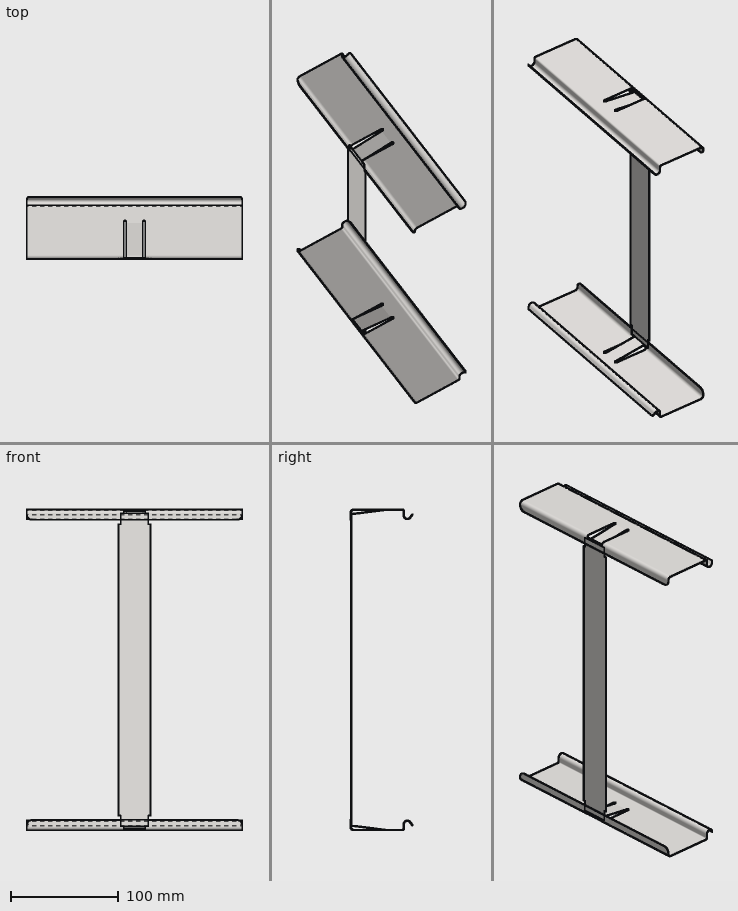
import cadquery as cq
import math

LENGTH = 200.0
DEPTH = 58.0
HEIGHT = 298.0
SHEET = 0.75
FRONT = -DEPTH / 2
TOP = HEIGHT / 2

LIP_HEIGHT = 9.8
LIP_BEND = 3.5
LIP_CORNER = 5.5
HOOK_CORNER = 3.0
LEG_REAR = 50.0
LEG_BEND = 1.8
CURL_INNER = 3.0
CURL_OUTER = CURL_INNER + SHEET
CURL_DROP = 5.7
CURL_END = 35.0

TONGUE_WIDTH = 15.5
TONGUE_HINGE = 33.7
TONGUE_DROP = 4.0
TONGUE_BEND = 3.3
OPENING_WIDTH = 19.7
OPENING_FRONT = 0.5
RELIEF_END = 35.8

STRAP_WIDTH = 29.8
NECK_WIDTH = 26.0
SHOULDER_DROP = 13.7
STRAP_REAR = 2 * SHEET


def place(rearward, drop):
    """Point on the YZ plane, measured back from the front face and down from the top."""
    return FRONT + rearward, TOP - drop


def around(center, radius, degrees):
    """Point on a circle; zero degrees faces rearward and 90 degrees faces down."""
    angle = math.radians(degrees)
    return place(center[0] + radius * math.cos(angle), center[1] + radius * math.sin(angle))


def bracket_profile():
    lip_center = (LIP_BEND, LIP_BEND)
    leg_center = (LEG_REAR - LEG_BEND, LEG_BEND)
    curl_center = (LEG_REAR + CURL_INNER, CURL_DROP)
    leg_front = LEG_REAR - SHEET
    lip_inner_radius = LIP_BEND - SHEET
    leg_inner_radius = LEG_BEND - SHEET

    end_angle = math.radians(CURL_END)
    reach = DEPTH - curl_center[0] - CURL_OUTER * math.cos(end_angle)
    tip_length = reach / math.sin(end_angle)
    tip_rise = tip_length * math.cos(end_angle)

    def tip(radius):
        y, z = around(curl_center, radius, CURL_END)
        return y + reach, z + tip_rise

    return (
        cq.Workplane("YZ")
        .moveTo(*place(0, LIP_HEIGHT))
        .lineTo(*place(0, LIP_BEND))
        .threePointArc(around(lip_center, LIP_BEND, 225), place(LIP_BEND, 0))
        .lineTo(*place(leg_center[0], 0))
        .threePointArc(around(leg_center, LEG_BEND, -45), place(LEG_REAR, LEG_BEND))
        .lineTo(*place(LEG_REAR, CURL_DROP))
        .threePointArc(around(curl_center, CURL_INNER, 90), around(curl_center, CURL_INNER, CURL_END))
        .lineTo(*tip(CURL_INNER))
        .lineTo(*tip(CURL_OUTER))
        .lineTo(*around(curl_center, CURL_OUTER, CURL_END))
        .threePointArc(around(curl_center, CURL_OUTER, 90), place(leg_front, CURL_DROP))
        .lineTo(*place(leg_front, LEG_BEND))
        .threePointArc(around(leg_center, leg_inner_radius, -45), place(leg_center[0], SHEET))
        .lineTo(*place(LIP_BEND, SHEET))
        .threePointArc(around(lip_center, lip_inner_radius, 225), place(SHEET, LIP_BEND))
        .lineTo(*place(SHEET, LIP_HEIGHT))
        .close()
    )


def lip_corner_rounded(body):
    lower_corners = cq.selectors.BoxSelector(
        (-LENGTH, FRONT - SHEET, TOP - LIP_HEIGHT - SHEET),
        (LENGTH, FRONT + SHEET, TOP - LIP_HEIGHT + SHEET),
    )
    return body.edges("|Y").edges(lower_corners).fillet(LIP_CORNER)


def hook_corner_rounded(body):
    """Round the outer ends of the straight part of the hook, seen from above."""
    blank = (
        cq.Workplane("XY")
        .box(LENGTH, DEPTH, HEIGHT)
        .edges("|Z and >Y")
        .fillet(HOOK_CORNER)
    )
    return body.intersect(blank)


def tongue():
    """Tab sloping from the web hinge to a short level end that meets the strap."""
    return (
        cq.Workplane("YZ")
        .polyline([
            place(TONGUE_HINGE, 0),
            place(TONGUE_BEND, TONGUE_DROP),
            place(SHEET, TONGUE_DROP),
            place(SHEET, TONGUE_DROP + SHEET),
            place(TONGUE_BEND, TONGUE_DROP + SHEET),
            place(TONGUE_HINGE, SHEET),
        ])
        .close()
        .extrude(TONGUE_WIDTH / 2, both=True)
    )


def opening():
    """Window left by the tongue, with a round-ended relief slot along each side."""
    def block(width, end):
        return cq.Workplane("XY").box(
            width, end - OPENING_FRONT, LIP_BEND, centered=(True, False, False)
        ).translate((0, FRONT + OPENING_FRONT, TOP - LIP_BEND))

    slot_width = (OPENING_WIDTH - TONGUE_WIDTH) / 2
    slot_offset = (TONGUE_WIDTH + slot_width) / 2
    slot_radius = slot_width / 2
    end_center = RELIEF_END - slot_radius
    cutter = block(OPENING_WIDTH, TONGUE_HINGE)
    for side in (-1, 1):
        straight = block(slot_width, end_center).translate((side * slot_offset, 0, 0))
        round_end = (
            cq.Workplane("XY", origin=(side * slot_offset, FRONT + end_center, TOP - LIP_BEND))
            .circle(slot_radius)
            .extrude(LIP_BEND)
        )
        cutter = cutter.union(straight).union(round_end)
    return cutter


def upper_bracket():
    body = bracket_profile().extrude(LENGTH / 2, both=True)
    body = lip_corner_rounded(body)
    body = hook_corner_rounded(body)
    return body.cut(opening()).union(tongue())


def strap():
    thickness = STRAP_REAR - SHEET
    middle = FRONT + SHEET + thickness / 2
    wide = cq.Workplane("XY").box(STRAP_WIDTH, thickness, HEIGHT - 2 * SHOULDER_DROP)
    neck = cq.Workplane("XY").box(NECK_WIDTH, thickness, HEIGHT - 2 * TONGUE_DROP)
    return wide.union(neck).translate((0, middle, 0))


upper = upper_bracket()
result = upper.union(upper.mirror("XY")).union(strap())